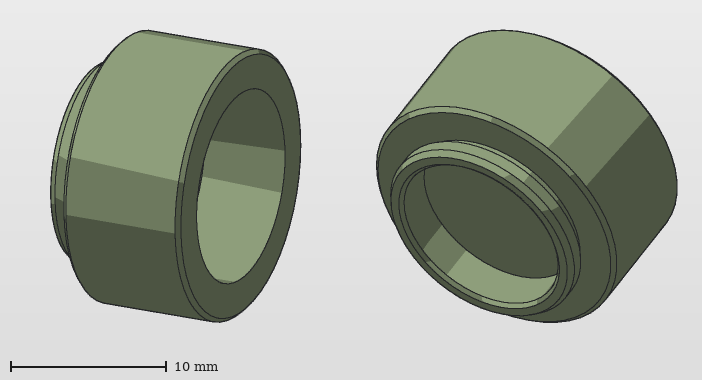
import cadquery as cq
import math


length = 10.4
barrel_radius = 8.89
barrel_chamfer = 0.28

collar_radius = 6.8
collar_end = 1.28
collar_chamfer_length = 0.45
collar_chamfer_depth = 0.27
neck_radius = 6.33
barrel_start = 2.0

bore_radius = 5.69
bore_chamfer = 0.25

lens_radius = 6.35
lens_seat = 2.85
lens_edge_thickness = 1.78
lens_curve_radius = 22.94


def make_mount():
    """Turned mount: stepped outside, front bore, and a lens pocket open at the back."""
    outline = [
        (0, bore_radius + bore_chamfer),
        (0, collar_radius - collar_chamfer_depth),
        (collar_chamfer_length, collar_radius),
        (collar_end, collar_radius),
        (collar_end, neck_radius),
        (barrel_start, neck_radius),
        (barrel_start, barrel_radius - barrel_chamfer),
        (barrel_start + barrel_chamfer, barrel_radius),
        (length - barrel_chamfer, barrel_radius),
        (length, barrel_radius - barrel_chamfer),
        (length, lens_radius),
        (lens_seat, lens_radius),
        (lens_seat, bore_radius),
        (bore_chamfer, bore_radius),
    ]
    return cq.Workplane("XY").polyline(outline).close().revolve(360, (0, 0, 0), (1, 0, 0))


def make_lens():
    """Plano-convex lens: flat in front, spherical at the back."""
    edge_back = lens_seat + lens_edge_thickness
    sphere_center = edge_back - math.sqrt(lens_curve_radius**2 - lens_radius**2)
    half_angle = math.asin(lens_radius / lens_curve_radius) / 2
    mid_arc = (
        sphere_center + lens_curve_radius * math.cos(half_angle),
        lens_curve_radius * math.sin(half_angle),
    )
    back_tip = (sphere_center + lens_curve_radius, 0)
    return (
        cq.Workplane("XY")
        .moveTo(lens_seat, 0)
        .lineTo(lens_seat, lens_radius)
        .lineTo(edge_back, lens_radius)
        .threePointArc(mid_arc, back_tip)
        .close()
        .revolve(360, (0, 0, 0), (1, 0, 0))
    )


mount = make_mount()
lens = make_lens()

result = cq.Compound.makeCompound([mount.val(), lens.val()])